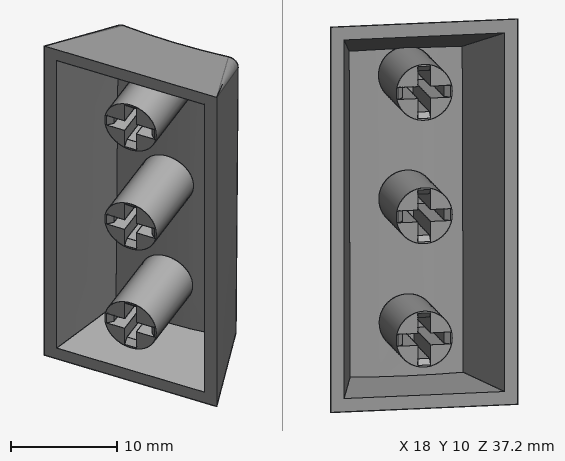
import cadquery as cq
import math

width = 18.0
height = 37.15
wall = 1.3
rim_corner_radius = 0.007

top_width = 12.85
top_upper_z = 15.12
top_lower_z = -18.3
top_upper_y = 10.05
top_lower_y = 9.6
top_corner_radius = 1.0
dish_depth = 0.6

ceiling_width = 10.77
ceiling_upper_z = 14.2
ceiling_lower_z = -17.05
ceiling_drop = 1.25

stem_diameter = 5.4
stem_spacing = 11.9
stem_length = 8.55
slot_mouth_length = 5.0
slot_inner_length = 3.98
upright_slot_width = 1.23
level_slot_width = 1.15
lead_in_depth = (slot_mouth_length - slot_inner_length) / 2

top_slope = (top_upper_y - top_lower_y) / (top_upper_z - top_lower_z)
dish_radius = ((top_width / 2) ** 2 + dish_depth**2) / (2 * dish_depth)


def sloped_plane(upper_z, lower_z, drop):
    """Plane parallel to the top's slope, centred between two Z positions."""
    middle_z = (upper_z + lower_z) / 2
    middle_y = top_lower_y + top_slope * (middle_z - top_lower_z) - drop
    return cq.Plane(origin=(0, middle_y, middle_z), xDir=(1, 0, 0), normal=(0, -1, top_slope))


def outline(plane, size_x, size_z, corner_radius):
    """Rectangular wire, with rounded corners where a radius is given."""
    wire = cq.Workplane(plane).rect(size_x, size_z).val()
    if corner_radius > 0:
        wire = wire.fillet2D(corner_radius, wire.Vertices())
    return wire


def dished_block(rim_size, end_width, upper_z, lower_z, drop, rim_radius, end_radius):
    """Block tapering from the rim to a sloped end that is hollowed by a cylinder."""
    end_plane = sloped_plane(upper_z, lower_z, drop)
    end_length = (upper_z - lower_z) * math.hypot(1, top_slope)
    rim = outline(cq.Plane.named("XZ"), *rim_size, rim_radius)
    end = outline(end_plane, end_width, end_length, end_radius)
    block = cq.Workplane(cq.Solid.makeLoft([rim, end], True))

    slope_direction = end_plane.yDir
    axis_middle = end_plane.origin - end_plane.zDir * (dish_radius - dish_depth)
    dish = cq.Solid.makeCylinder(
        dish_radius, 2 * height, axis_middle - slope_direction * height, slope_direction
    )
    return block.cut(cq.Workplane(dish))


def slot(width_across):
    """Slot along X through the stem, with 45-degree lead-ins at the rim end."""
    half_mouth = slot_mouth_length / 2
    half_inner = slot_inner_length / 2
    profile = [
        (-half_mouth, 0),
        (half_mouth, 0),
        (half_inner, lead_in_depth),
        (half_inner, stem_length),
        (-half_inner, stem_length),
        (-half_inner, lead_in_depth),
    ]
    return cq.Workplane("XY").polyline(profile).close().extrude(width_across / 2, both=True)


body = dished_block(
    (width, height), top_width, top_upper_z, top_lower_z, 0, rim_corner_radius, top_corner_radius
)
cavity = dished_block(
    (width - 2 * wall, height - 2 * wall),
    ceiling_width, ceiling_upper_z, ceiling_lower_z, ceiling_drop, 0, 0,
)
shell = body.cut(cavity)

upright_slot = slot(upright_slot_width).rotate((0, 0, 0), (0, 1, 0), 90)
socket = slot(level_slot_width).union(upright_slot)
stem = cq.Workplane("XZ").circle(stem_diameter / 2).extrude(-stem_length).cut(socket)

result = shell
for stem_z in (-stem_spacing, 0, stem_spacing):
    result = result.union(stem.translate((0, 0, stem_z)))